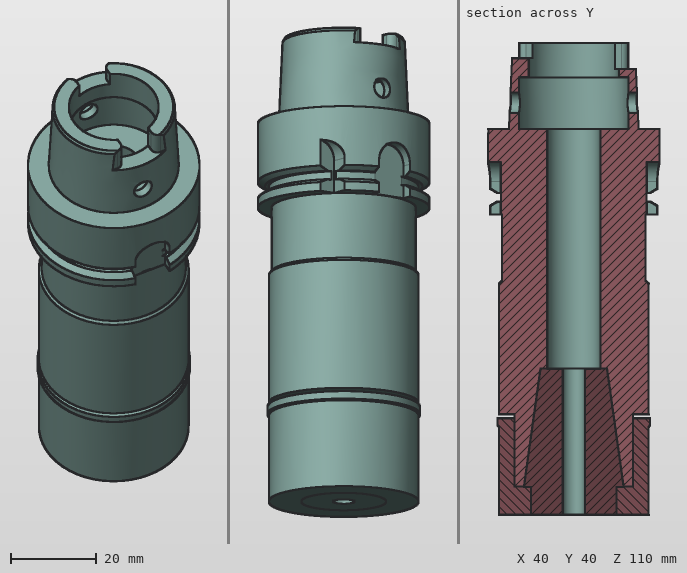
import cadquery as cq
import math

TOTAL_HEIGHT = 110.0

TAPER_HEIGHT = 20.0
TAPER_BASE_RADIUS = 15.2
TAPER_TOP_RADIUS = 14.3
RIM_CHAMFER_HEIGHT = 0.8
RIM_CHAMFER_WIDTH = 0.4

DRIVE_SLOT_WIDTH = 8.0
LEFT_SLOT_DEPTH = 3.5
RIGHT_SLOT_DEPTH = 6.0
RIM_END_ROUNDING = 1.6
RIM_END_X = 12.8

BORE_RADIUS = 10.5
BORE_DEPTH = 8.0
CHAMBER_RADIUS = 12.8
CHAMBER_DEPTH = 20.0
LOWER_BORE_RADIUS = 6.2
CROSS_HOLE_RADIUS = 2.3
CROSS_HOLE_DEPTH = 14.0

FLANGE_RADIUS = 20.0
FLANGE_HEIGHT = 20.0
GROOVE_CENTER_ABOVE_FLANGE_BOTTOM = 4.1
GROOVE_FLOOR_RADIUS = 17.5
GROOVE_FLOOR_HEIGHT = 2.0
GROOVE_FLANK_HEIGHT = 1.0
GROOVE_FLANK_WIDTH = 1.6

KEYWAY_WIDTH = 9.0
KEYWAY_HEIGHT = 12.2
KEYWAY_FLOOR_X = 17.0
NOTCH_FLOOR_X = 12.0
NOTCH_INNER_Y = 12.0

NECK_RADIUS = 16.8
STEM_RADIUS = 17.5
STEM_SHOULDER_Z = 54.6
STEM_SHOULDER_CHAMFER = STEM_RADIUS - NECK_RADIUS
STEM_BOTTOM_Z = 23.4
SPIGOT_RADIUS = 13.9
SPIGOT_BOTTOM_Z = 6.6

NUT_HEIGHT = 22.5
NUT_RADIUS = 17.5
NUT_COLLAR_RADIUS = 17.8
NUT_COLLAR_HEIGHT = 1.8
NUT_COLLAR_CHAMFER = NUT_COLLAR_RADIUS - NUT_RADIUS

COLLET_NOSE_RADIUS = 9.9
COLLET_MOUTH_RADIUS = 11.5
COLLET_HALF_ANGLE = 8.0
COLLET_TOP_Z = 34.1
COLLET_HOLE_RADIUS = 2.5

FLANGE_TOP_Z = TOTAL_HEIGHT - TAPER_HEIGHT
FLANGE_BOTTOM_Z = FLANGE_TOP_Z - FLANGE_HEIGHT
GROOVE_CENTER_Z = FLANGE_BOTTOM_Z + GROOVE_CENTER_ABOVE_FLANGE_BOTTOM
COLLET_TAPER_HEIGHT = COLLET_TOP_Z - SPIGOT_BOTTOM_Z
COLLET_TOP_RADIUS = COLLET_MOUTH_RADIUS - COLLET_TAPER_HEIGHT * math.tan(math.radians(COLLET_HALF_ANGLE))


def cylinder(radius, bottom_z, top_z):
    return cq.Workplane("XY").workplane(offset=bottom_z).circle(radius).extrude(top_z - bottom_z)


def turned(profile):
    """Revolve a closed outline of (radius, height) points about the Z axis."""
    return cq.Workplane("XZ").polyline(profile).close().revolve(360, (0, 0, 0), (0, 1, 0))


def holder_blank():
    rim_z = TOTAL_HEIGHT - RIM_CHAMFER_HEIGHT
    half_floor = GROOVE_FLOOR_HEIGHT / 2
    half_mouth = half_floor + GROOVE_FLANK_HEIGHT
    flank_radius = FLANGE_RADIUS - GROOVE_FLANK_WIDTH
    return turned([
        (0, SPIGOT_BOTTOM_Z),
        (SPIGOT_RADIUS, SPIGOT_BOTTOM_Z),
        (SPIGOT_RADIUS, STEM_BOTTOM_Z),
        (STEM_RADIUS, STEM_BOTTOM_Z),
        (STEM_RADIUS, STEM_SHOULDER_Z - STEM_SHOULDER_CHAMFER),
        (NECK_RADIUS, STEM_SHOULDER_Z),
        (NECK_RADIUS, FLANGE_BOTTOM_Z),
        (FLANGE_RADIUS, FLANGE_BOTTOM_Z),
        (FLANGE_RADIUS, GROOVE_CENTER_Z - half_mouth),
        (flank_radius, GROOVE_CENTER_Z - half_floor),
        (GROOVE_FLOOR_RADIUS, GROOVE_CENTER_Z - half_floor),
        (GROOVE_FLOOR_RADIUS, GROOVE_CENTER_Z + half_floor),
        (flank_radius, GROOVE_CENTER_Z + half_floor),
        (FLANGE_RADIUS, GROOVE_CENTER_Z + half_mouth),
        (FLANGE_RADIUS, FLANGE_TOP_Z),
        (TAPER_BASE_RADIUS, FLANGE_TOP_Z),
        (TAPER_TOP_RADIUS, rim_z),
        (TAPER_TOP_RADIUS - RIM_CHAMFER_WIDTH, TOTAL_HEIGHT),
        (0, TOTAL_HEIGHT),
    ])


def holder_bores():
    bore_end_z = TOTAL_HEIGHT - BORE_DEPTH
    chamber_end_z = TOTAL_HEIGHT - CHAMBER_DEPTH
    bore = cylinder(BORE_RADIUS, bore_end_z, TOTAL_HEIGHT)
    chamber = cylinder(CHAMBER_RADIUS, chamber_end_z, bore_end_z)
    lower_bore = cylinder(LOWER_BORE_RADIUS, SPIGOT_BOTTOM_Z, chamber_end_z)
    return bore.union(chamber).union(lower_bore)


def cross_hole():
    return (
        cq.Workplane("YZ")
        .center(0, TOTAL_HEIGHT - CROSS_HOLE_DEPTH)
        .circle(CROSS_HOLE_RADIUS)
        .extrude(TAPER_BASE_RADIUS, both=True)
    )


def drive_slot(side, depth):
    """Slot through one wall of the rim; its corners are rounded into flats that face outward."""
    half_width = DRIVE_SLOT_WIDTH / 2
    arc_start_x = RIM_END_X - RIM_END_ROUNDING
    arc_end_y = half_width + RIM_END_ROUNDING
    arc_middle_x = arc_start_x + RIM_END_ROUNDING * math.sin(math.pi / 4)
    arc_middle_y = arc_end_y - RIM_END_ROUNDING * math.cos(math.pi / 4)
    return (
        cq.Workplane("XY")
        .workplane(offset=TOTAL_HEIGHT - depth)
        .moveTo(0, -half_width)
        .lineTo(side * arc_start_x, -half_width)
        .threePointArc((side * arc_middle_x, -arc_middle_y), (side * RIM_END_X, -arc_end_y))
        .lineTo(side * RIM_END_X, -TAPER_BASE_RADIUS)
        .lineTo(side * TAPER_BASE_RADIUS, -TAPER_BASE_RADIUS)
        .lineTo(side * TAPER_BASE_RADIUS, TAPER_BASE_RADIUS)
        .lineTo(side * RIM_END_X, TAPER_BASE_RADIUS)
        .lineTo(side * RIM_END_X, arc_end_y)
        .threePointArc((side * arc_middle_x, arc_middle_y), (side * arc_start_x, half_width))
        .lineTo(0, half_width)
        .close()
        .extrude(depth)
    )


def keyway(side, floor_x, center_y):
    """Round-topped keyway open at the flange bottom, from a flat floor outward along X."""
    radius = KEYWAY_WIDTH / 2
    arc_z = FLANGE_BOTTOM_Z + KEYWAY_HEIGHT - radius
    return (
        cq.Workplane("YZ")
        .workplane(offset=side * floor_x)
        .moveTo(center_y - radius, FLANGE_BOTTOM_Z)
        .lineTo(center_y - radius, arc_z)
        .threePointArc((center_y, arc_z + radius), (center_y + radius, arc_z))
        .lineTo(center_y + radius, FLANGE_BOTTOM_Z)
        .close()
        .extrude(side * FLANGE_RADIUS)
    )


def collet_cone():
    return turned([
        (0, SPIGOT_BOTTOM_Z),
        (COLLET_MOUTH_RADIUS, SPIGOT_BOTTOM_Z),
        (COLLET_TOP_RADIUS, COLLET_TOP_Z),
        (0, COLLET_TOP_Z),
    ])


def make_holder():
    holder = holder_blank().cut(holder_bores()).cut(cross_hole()).cut(collet_cone())
    for side, depth in ((-1, LEFT_SLOT_DEPTH), (1, RIGHT_SLOT_DEPTH)):
        holder = holder.cut(drive_slot(side, depth))
        holder = holder.cut(keyway(side, KEYWAY_FLOOR_X, 0))
    return holder.cut(keyway(-1, NOTCH_FLOOR_X, NOTCH_INNER_Y + KEYWAY_WIDTH / 2))


def make_nut():
    collar_bottom_z = NUT_HEIGHT - NUT_COLLAR_HEIGHT
    return turned([
        (COLLET_NOSE_RADIUS, 0),
        (NUT_RADIUS, 0),
        (NUT_RADIUS, collar_bottom_z - NUT_COLLAR_CHAMFER),
        (NUT_COLLAR_RADIUS, collar_bottom_z),
        (NUT_COLLAR_RADIUS, NUT_HEIGHT),
        (SPIGOT_RADIUS, NUT_HEIGHT),
        (SPIGOT_RADIUS, SPIGOT_BOTTOM_Z),
        (COLLET_NOSE_RADIUS, SPIGOT_BOTTOM_Z),
    ])


def make_collet():
    nose = cylinder(COLLET_NOSE_RADIUS, 0, SPIGOT_BOTTOM_Z)
    through_hole = cylinder(COLLET_HOLE_RADIUS, 0, COLLET_TOP_Z)
    return nose.union(collet_cone()).cut(through_hole)


holder = make_holder()
nut = make_nut()
collet = make_collet()

result = cq.Compound.makeCompound([holder.val(), nut.val(), collet.val()])